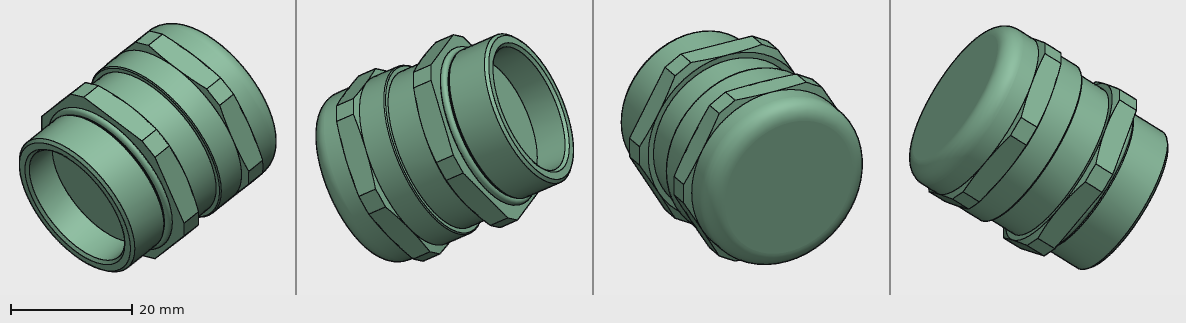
import cadquery as cq
import math

LENGTH = 34.0

THREAD_RADIUS = 13.25
SEAL_RADIUS = 14.0
NECK_RADIUS = 14.0
CAP_RADIUS = 15.0

THREAD_END = 7.72
FLANGE_START = 9.0
FLANGE_END = 13.0
CAP_START = 19.0
CAP_HEX_START = 24.0
CAP_HEX_END = 27.98

THREAD_CHAMFER = 0.5
THREAD_BACK_CHAMFER = 0.3
CAP_CHAMFER = 0.2
DOME_FILLET = 3.0
SEAL_WIRE_RADIUS = 0.65

ACROSS_FLATS = 2 * CAP_RADIUS
ACROSS_CUT_CORNERS = 32.65
FLANGE_BEVEL_DEPTH = 0.55
CAP_HEX_BEVEL_DEPTH = 0.35

BORE_RADIUS = 10.95
BORE_DEPTH = 6.0
BORE_CHAMFER = 0.5


def cylinder(radius, start, end):
    """Cylinder on the Y axis from station start to station end."""
    return cq.Workplane("XZ", origin=(0, start, 0)).circle(radius).extrude(start - end)


def hexagonal_prism(across_flats, start, end, turn):
    """Hexagonal prism on the Y axis; a turn of 0 puts corners on X, 30 puts flats on X."""
    across_corners = across_flats / math.cos(math.pi / 6)
    prism = cq.Workplane("XZ", origin=(0, start, 0)).polygon(6, across_corners).extrude(start - end)
    return prism.rotate((0, 0, 0), (0, 1, 0), turn)


def bevel_limit(start, end, bevel_depth, bevelled_faces):
    """Turned envelope that bevels the corners of a hexagon on the selected end faces."""
    cut_flat_half_width = ACROSS_FLATS - ACROSS_CUT_CORNERS * math.cos(math.pi / 6)
    corner_radius = math.hypot(ACROSS_CUT_CORNERS / 2, cut_flat_half_width)
    envelope = cylinder(corner_radius, start, end)
    return envelope.faces(bevelled_faces).chamfer(bevel_depth, corner_radius - CAP_RADIUS)


def wrench_hexagon(start, end, bevel_depth, bevelled_faces):
    hexagon = hexagonal_prism(ACROSS_FLATS, start, end, 0)
    corner_cut = hexagonal_prism(ACROSS_CUT_CORNERS, start, end, 30)
    return hexagon.intersect(corner_cut).intersect(bevel_limit(start, end, bevel_depth, bevelled_faces))


def threaded_end():
    thread = cylinder(THREAD_RADIUS, 0, THREAD_END)
    thread = thread.faces("<Y").chamfer(THREAD_CHAMFER)
    thread = thread.faces(">Y").chamfer(THREAD_BACK_CHAMFER)
    relief = cylinder(THREAD_RADIUS - THREAD_BACK_CHAMFER, THREAD_END - THREAD_BACK_CHAMFER, FLANGE_START)
    return thread.union(relief)


def seal_ring():
    """Round-section ring against the flange; its profile reaches the axis to overlap the body."""
    ring_center_radius = SEAL_RADIUS - SEAL_WIRE_RADIUS
    ring_center_station = FLANGE_START - SEAL_WIRE_RADIUS
    return (
        cq.Workplane("XY")
        .moveTo(0, FLANGE_START)
        .lineTo(ring_center_radius, FLANGE_START)
        .threePointArc(
            (
                ring_center_radius + SEAL_WIRE_RADIUS * math.sqrt(0.5),
                ring_center_station - SEAL_WIRE_RADIUS * math.sqrt(0.5),
            ),
            (ring_center_radius - SEAL_WIRE_RADIUS, ring_center_station),
        )
        .lineTo(0, ring_center_station)
        .close()
        .revolve(360, (0, 0), (0, 1))
    )


def domed_cap():
    cap = cylinder(CAP_RADIUS, CAP_START, LENGTH)
    return cap.faces(">Y").edges().fillet(DOME_FILLET).faces("<Y").chamfer(CAP_CHAMFER)


def bore():
    """Flat-bottomed bore with a chamfered mouth."""
    mouth = (
        cq.Workplane("XZ")
        .circle(BORE_RADIUS + BORE_CHAMFER)
        .workplane(offset=-BORE_CHAMFER)
        .circle(BORE_RADIUS)
        .loft(ruled=True)
    )
    return cylinder(BORE_RADIUS, 0, BORE_DEPTH).union(mouth)


result = (
    threaded_end()
    .union(seal_ring())
    .union(wrench_hexagon(FLANGE_START, FLANGE_END, FLANGE_BEVEL_DEPTH, ">Y"))
    .union(cylinder(NECK_RADIUS, FLANGE_END, CAP_START))
    .union(domed_cap())
    .union(wrench_hexagon(CAP_HEX_START, CAP_HEX_END, CAP_HEX_BEVEL_DEPTH, "<Y or >Y"))
    .cut(bore())
)